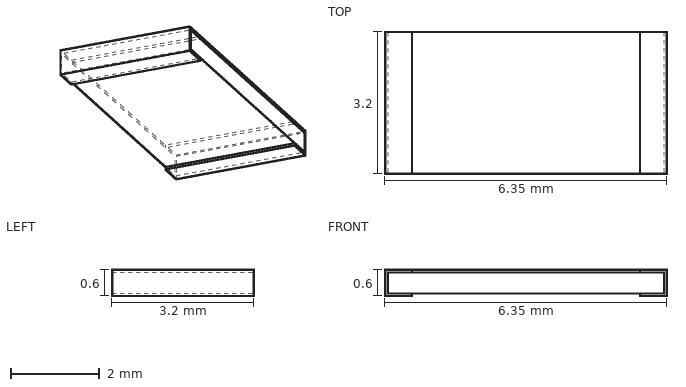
import cadquery as cq

length = 6.35
width = 3.2
height = 0.6

plating = 0.06
terminal_length = 0.6

core_length = length - 2 * plating
core_height = height - 2 * plating
coating_length = length - 2 * terminal_length


def block(size_x, size_z, bottom_z):
    """Full-width block centred on X and Y, standing on bottom_z."""
    return (
        cq.Workplane("XY")
        .workplane(offset=bottom_z)
        .box(size_x, width, size_z, centered=(True, True, False))
    )


def make_core():
    """Ceramic substrate, raised above the terminal feet."""
    return block(core_length, core_height, plating)


def make_coating():
    """Protective layer on top of the core, between the terminals."""
    return block(coating_length, plating, height - plating)


def make_terminal(side):
    """C-shaped cap around one end of the core; side is -1 or +1 along X."""
    end_x = side * length / 2
    inner_end_x = side * core_length / 2
    tip_x = side * coating_length / 2
    profile = [
        (tip_x, 0),
        (end_x, 0),
        (end_x, height),
        (tip_x, height),
        (tip_x, height - plating),
        (inner_end_x, height - plating),
        (inner_end_x, plating),
        (tip_x, plating),
    ]
    return cq.Workplane("XZ").polyline(profile).close().extrude(width / 2, both=True)


core = make_core()
coating = make_coating()
terminals = [make_terminal(side) for side in (-1, 1)]

result = cq.Compound.makeCompound(
    [core.val(), coating.val(), *[terminal.val() for terminal in terminals]]
)